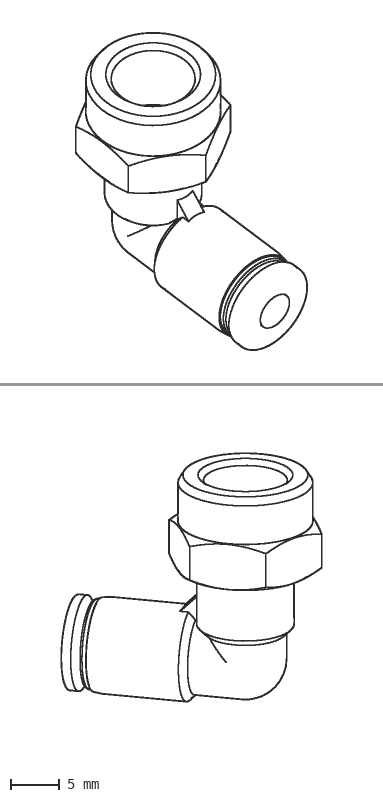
import cadquery as cq
import math


hex_across_flats = 14.0
hex_corner_radius = hex_across_flats / math.sqrt(3)
hex_bottom = 10.0
hex_top = 15.0
hex_chamfer_radius = hex_across_flats / 2 - 0.08
hex_chamfer_angle = 30
thread_diameter = 13.8
thread_top = 20.0
thread_chamfer_height = 0.8
thread_chamfer_width = 0.5

elbow_radius = 4.23
body_radius = 10.0 / 2
shoulder_width = body_radius - elbow_radius
stem_bottom = 3.75
shoulder_start = body_radius
shoulder_end = shoulder_start + shoulder_width

body_end = 14.62
taper_end = 15.59
taper_radius = 4.87
rim_end = 16.28
rim_chamfer_length = 0.25
rim_chamfer_width = 0.13
rim_radius = 9.4 / 2
neck_radius = 5.4 / 2
neck_fillet = 0.4
collar_start = 17.17
collar_radius = 9.9 / 2
collar_edge = 18.2
collar_rounding = 0.15
collar_face_radius = 2.33
overall_length = 26.78
tip = overall_length - hex_corner_radius

web_reach = 11.52
web_thickness = 2.15

socket_diameter = 8.57
socket_depth = 8.0
socket_chamfer = 0.55
passage_radius = 2.8 / 2
tube_diameter = 4.0
tube_depth = 13.0


def make_hex_nut():
    """Hexagon with corners on the X axis and conical chamfers on both faces."""
    height = hex_top - hex_bottom
    prism = (
        cq.Workplane("XY").workplane(offset=hex_bottom)
        .polygon(6, 2 * hex_corner_radius).extrude(height)
    )
    chamfer_rise = (hex_corner_radius - hex_chamfer_radius) * math.tan(math.radians(hex_chamfer_angle))
    envelope = (
        cq.Workplane("XZ")
        .moveTo(0, hex_bottom)
        .lineTo(hex_chamfer_radius, hex_bottom)
        .lineTo(hex_corner_radius, hex_bottom + chamfer_rise)
        .lineTo(hex_corner_radius, hex_top - chamfer_rise)
        .lineTo(hex_chamfer_radius, hex_top)
        .lineTo(0, hex_top)
        .close()
        .revolve(360, (0, 0, 0), (0, 1, 0))
    )
    return prism.intersect(envelope)


def make_threaded_leg():
    """Elbow half, stem and thread cylinder turned about Z."""
    thread_radius = thread_diameter / 2
    return (
        cq.Workplane("XZ")
        .lineTo(elbow_radius, 0)
        .lineTo(elbow_radius, stem_bottom - shoulder_width)
        .lineTo(body_radius, stem_bottom)
        .lineTo(body_radius, hex_top)
        .lineTo(thread_radius, hex_top)
        .lineTo(thread_radius, thread_top - thread_chamfer_height)
        .lineTo(thread_radius - thread_chamfer_width, thread_top)
        .lineTo(0, thread_top)
        .close()
        .revolve(360, (0, 0, 0), (0, 1, 0))
    )


def make_tube_leg():
    """Elbow half, body, neck and release collar turned about X."""
    return (
        cq.Workplane("XZ")
        .lineTo(0, elbow_radius)
        .lineTo(shoulder_start, elbow_radius)
        .lineTo(shoulder_end, body_radius)
        .lineTo(body_end, body_radius)
        .lineTo(taper_end, taper_radius)
        .lineTo(taper_end, rim_radius)
        .lineTo(rim_end - rim_chamfer_length, rim_radius)
        .lineTo(rim_end, rim_radius - rim_chamfer_width)
        .lineTo(rim_end, neck_radius)
        .lineTo(collar_start - neck_fillet, neck_radius)
        .radiusArc((collar_start, neck_radius + neck_fillet), -neck_fillet)
        .lineTo(collar_start, collar_radius)
        .lineTo(collar_edge - collar_rounding, collar_radius)
        .radiusArc((collar_edge, collar_radius - collar_rounding), collar_rounding)
        .lineTo(tip, collar_face_radius)
        .lineTo(tip, 0)
        .close()
        .revolve(360, (0, 0, 0), (1, 0, 0))
    )


def make_web():
    """Triangular web joining the two legs at 45 degrees."""
    return (
        cq.Workplane("XZ")
        .lineTo(web_reach, 0)
        .lineTo(0, web_reach)
        .close()
        .extrude(web_thickness / 2, both=True)
    )


def make_bores():
    """Chamfered socket, tube hole and the passage that turns the corner."""
    socket_floor = thread_top - socket_depth
    socket = cq.Workplane("XY").workplane(offset=socket_floor).circle(socket_diameter / 2).extrude(socket_depth)
    mouth_radius = socket_diameter / 2 + socket_chamfer
    mouth = cq.Workplane(
        cq.Solid.makeCone(
            socket_diameter / 2, mouth_radius, socket_chamfer,
            cq.Vector(0, 0, thread_top - socket_chamfer),
        )
    )
    vertical = cq.Workplane("XY").circle(passage_radius).extrude(socket_floor)
    horizontal = cq.Workplane("YZ").circle(passage_radius).extrude(tip)
    corner = cq.Workplane("XY").sphere(passage_radius)
    tube_hole = (
        cq.Workplane("YZ").workplane(offset=tip - tube_depth)
        .circle(tube_diameter / 2).extrude(tube_depth)
    )
    return socket.union(mouth).union(vertical).union(horizontal).union(corner).union(tube_hole)


elbow_ball = cq.Workplane("XY").sphere(elbow_radius)
outside = make_threaded_leg().union(make_tube_leg()).union(elbow_ball).union(make_hex_nut()).union(make_web())
result = outside.cut(make_bores())